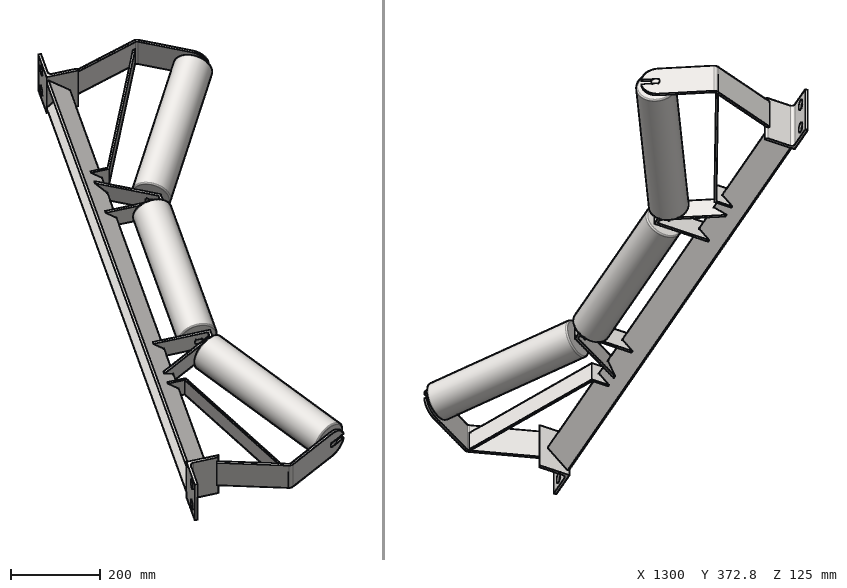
import cadquery as cq
import math

overall_length = 1300.0
plate_thickness = 6.0

beam_leg = 70.0
beam_thickness = 7.0
beam_root_radius = 7.3

foot_height = 125.0
foot_thickness = 6.0
foot_flange = 69.0
foot_leg = 74.0
foot_root_radius = 8.0
foot_toe_radius = 4.5
slot_width = 17.0
slot_length = 27.0
slot_spacing = 70.0
slot_from_edge = 25.0

roller_diameter = 90.0
roller_length = 380.0
roller_edge_round = 3.2
axle_diameter = 20.0
axle_flat_width = 14.0
centre_roller_y = 135.0
side_roller_x = -399.0
side_roller_y = 240.0
side_roller_z = 5.0
side_roller_angle = 30.0
side_roller_tilt = 1.4
side_end_gap = 9.0
centre_end_gap = 5.0

arm_width = 78.0
arm_tip = 32.0
arm_elbow_y = 225.0
arm_bend_radius = 6.0
arm_lower_angle = 18.4
arm_foot_y = 68.0

bar_width = 51.0
bracket_top_y = 162.0
brace_thickness = 5.0
brace_x = -318.0
brace_bend_y = 70.0
brace_angle = 25.0

clearance = 650.0
beam_corner_y = (beam_leg + beam_thickness) / math.sqrt(2)
foot_edge_x = -overall_length / 2
beam_end_x = foot_edge_x + foot_flange
foot_leg_x = beam_end_x - foot_thickness

slope = math.radians(side_roller_angle)
tilt = math.radians(side_roller_tilt)
along = (math.cos(slope), -math.sin(slope))
across = (math.sin(slope), math.cos(slope))
support_distance = roller_length / 2 + side_end_gap + plate_thickness / 2


def plan_point(axial, sideways):
    """Point in plan, measured from the middle of the left roller along and across its axis."""
    return (
        side_roller_x + axial * along[0] + sideways * across[0],
        side_roller_y + axial * along[1] + sideways * across[1],
    )


def plate_point(axial, y):
    """Point with the given y on the plan line across the left roller at a given axial distance."""
    middle_y = plan_point(axial, 0)[1]
    return plan_point(axial, (y - middle_y) / across[1])


def at_edge(x, y, z=0):
    return cq.selectors.NearestToPointSelector((x, y, z))


def flat_bar(points, thickness, width, middle_z=0.0, bend_radius=0.0):
    """Flat bar standing on edge, bent along plan points that mark its mid-line."""
    directions = []
    for start, end in zip(points, points[1:]):
        length = math.dist(start, end)
        directions.append(((end[0] - start[0]) / length, (end[1] - start[1]) / length))
    left_side = []
    right_side = []
    for before, after, point in zip(directions[:1] + directions, directions + directions[-1:], points):
        miter = (-before[1] - after[1], before[0] + after[0])
        scale = thickness / (miter[0] ** 2 + miter[1] ** 2)
        left_side.append((point[0] + scale * miter[0], point[1] + scale * miter[1]))
        right_side.append((point[0] - scale * miter[0], point[1] - scale * miter[1]))
    bar = (
        cq.Workplane("XY", origin=(0, 0, middle_z - width / 2))
        .polyline(left_side + right_side[::-1])
        .close()
        .extrude(width)
    )
    if bend_radius > 0:
        for i in range(1, len(points) - 1):
            before, after = directions[i - 1], directions[i]
            turns_left = before[0] * after[1] - before[1] * after[0] > 0
            inside, outside = (left_side, right_side) if turns_left else (right_side, left_side)
            bar = bar.edges(at_edge(*inside[i], middle_z)).fillet(bend_radius)
            bar = bar.edges(at_edge(*outside[i], middle_z)).fillet(bend_radius + thickness)
    return bar


def side_axle_plane(axial):
    """Plane square to the left roller's axis, with its x direction across the roller."""
    height = side_roller_z - axial * math.tan(tilt)
    normal = (along[0] * math.cos(tilt), along[1] * math.cos(tilt), -math.sin(tilt))
    return cq.Plane(origin=(*plan_point(axial, 0), height), xDir=(*across, 0), normal=normal)


def axle_bar(plane, length):
    """Round bar with flats above and below, centred on the plane and square to it."""
    flats = cq.Workplane(plane).rect(axle_diameter, axle_flat_width).extrude(length / 2, both=True)
    return cq.Workplane(plane).circle(axle_diameter / 2).extrude(length / 2, both=True).intersect(flats)


def make_beam():
    t = beam_thickness
    outline = [(0, 0), (-beam_leg, 0), (-beam_leg, -t), (-t, -t), (-t, -beam_leg), (0, -beam_leg)]
    beam = cq.Workplane("YZ", origin=(beam_end_x, 0, 0)).polyline(outline).close().extrude(-2 * beam_end_x)
    beam = beam.edges(at_edge(0, -t, -t)).fillet(beam_root_radius)
    return beam.rotate((0, 0, 0), (1, 0, 0), -45).translate((0, beam_corner_y, 0))


def beam_envelope():
    """Space in front of the beam's two outer faces, where welded bars must stop."""
    back = beam_corner_y - clearance
    return (
        cq.Workplane("YZ")
        .polyline([(beam_corner_y, 0), (back, clearance), (back, -clearance)])
        .close()
        .extrude(clearance, both=True)
    )


def make_foot():
    t = foot_thickness
    outline = [
        (foot_edge_x, 0),
        (beam_end_x, 0),
        (beam_end_x, foot_leg),
        (foot_leg_x, foot_leg),
        (foot_leg_x, t),
        (foot_edge_x, t),
    ]
    foot = cq.Workplane("XY").polyline(outline).close().extrude(foot_height / 2, both=True)
    foot = foot.edges(at_edge(foot_leg_x, t)).fillet(foot_root_radius)
    foot = foot.edges(at_edge(foot_leg_x, foot_leg)).fillet(foot_toe_radius)
    slot_x = foot_edge_x + slot_from_edge
    slots = (
        cq.Workplane("XZ")
        .pushPoints([(slot_x, -slot_spacing / 2), (slot_x, slot_spacing / 2)])
        .slot2D(slot_length, slot_width, 90)
        .extrude(-t)
    )
    return foot.cut(slots)


arm_elbow = plate_point(-support_distance, arm_elbow_y)
arm_drop = arm_elbow_y - arm_foot_y
arm_lower_end = (arm_elbow[0] + arm_drop * math.tan(math.radians(arm_lower_angle)), arm_foot_y)


def make_arm():
    axle_plane = side_axle_plane(-support_distance)
    middle_z = axle_plane.origin.z
    tip_radius = arm_width / 2
    tip_centre = plan_point(-support_distance, arm_tip - tip_radius)
    mid_line = [tip_centre, arm_elbow, arm_lower_end]
    arm = flat_bar(mid_line, plate_thickness, arm_width, middle_z, arm_bend_radius)
    tip_plane = cq.Plane(origin=(*tip_centre, middle_z), xDir=(*across, 0), normal=(*along, 0))
    tip = cq.Workplane(tip_plane).circle(tip_radius).extrude(plate_thickness / 2, both=True)
    slot_seat = axle_bar(axle_plane, 2 * plate_thickness)
    slot_mouth = (
        cq.Workplane(axle_plane)
        .center(arm_width / 2, 0)
        .rect(arm_width, axle_flat_width)
        .extrude(plate_thickness, both=True)
    )
    return arm.union(tip).cut(slot_seat).cut(slot_mouth)


def make_brace():
    """Bar from the arm's elbow to the beam; its upper end stops inside the arm."""
    rise = math.radians(brace_angle)
    run = brace_x - arm_elbow[0]
    upper_end = (arm_elbow[0], brace_bend_y + run * math.tan(rise))
    brace = flat_bar([(brace_x, 0), (brace_x, brace_bend_y), upper_end], brace_thickness, bar_width)
    return brace.cut(beam_envelope())


def make_side_support():
    """Foot, arm and brace welded into one body."""
    return make_foot().union(make_arm()).union(make_brace())


def make_inner_bracket():
    """Bar folded over between two rollers, with a hole for each axle."""
    upright_x = -(roller_length / 2 + centre_end_gap + plate_thickness / 2)
    fold_y = bracket_top_y - plate_thickness / 2
    mid_line = [
        (upright_x, 0),
        (upright_x, fold_y),
        plate_point(support_distance, fold_y),
        plate_point(support_distance, 0),
    ]
    bracket = flat_bar(mid_line, plate_thickness, bar_width).cut(beam_envelope())
    centre_plane = cq.Plane(origin=(upright_x, centre_roller_y, 0), xDir=(0, 1, 0), normal=(1, 0, 0))
    centre_hole = axle_bar(centre_plane, 2 * plate_thickness)
    side_hole = axle_bar(side_axle_plane(support_distance), 2 * plate_thickness)
    return bracket.cut(centre_hole).cut(side_hole)


def make_roller(end_gap):
    """Roller along X, centred on the origin, with axle ends flush with its supports."""
    axle_length = roller_length + 2 * (end_gap + plate_thickness)
    shell = (
        cq.Workplane("YZ", origin=(-roller_length / 2, 0, 0))
        .circle(roller_diameter / 2)
        .extrude(roller_length)
        .faces("<X or >X")
        .edges()
        .fillet(roller_edge_round)
    )
    axle = axle_bar(cq.Plane.named("YZ"), axle_length)
    return shell.union(axle)


def make_side_roller():
    return (
        make_roller(side_end_gap)
        .rotate((0, 0, 0), (0, 1, 0), side_roller_tilt)
        .rotate((0, 0, 0), (0, 0, 1), -side_roller_angle)
        .translate((side_roller_x, side_roller_y, side_roller_z))
    )


beam = make_beam()
centre_roller = make_roller(centre_end_gap).translate((0, centre_roller_y, 0))
bodies = [beam.solids().val(), centre_roller.solids().val()]
for left_body in (make_side_support(), make_inner_bracket(), make_side_roller()):
    bodies.append(left_body.solids().val())
    bodies.append(left_body.mirror("YZ").solids().val())

result = cq.Compound.makeCompound(bodies)